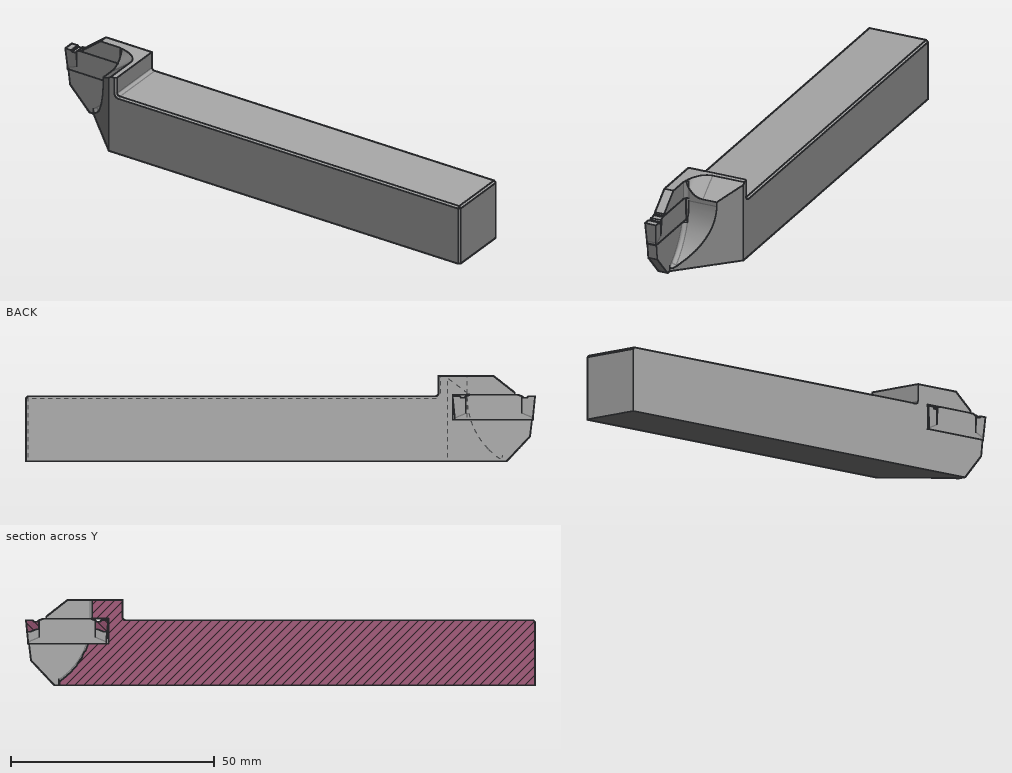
import cadquery as cq
import math


overall_length = 125.0
shank_size = 16.0
edge_chamfer = 0.5

head_height = 21.0
head_end_x = 23.8
step_fillet = 0.8
relief_start_x = 21.6
blade_thickness = 2.5
nose_x = 5.0
nose_bottom_offset = 0.5
jaw_top_x = 10.2
seat_front_x = 0.8
heel_x = 1.2
heel_z = 6.1
toe_x = 7.0

scoop_wall_x = 16.8
scoop_radius = 18.1
scoop_center_z = 15.8
scoop_arc_end_z = 1.4
root_fillet = 1.0

channel_floor_z = 16.9
channel_top_x = 22.2
channel_radius = 4.8

insert_length = 20.2
insert_bottom_z = 10.2
insert_top_z = 16.4
cutting_edge_z = 16.0
cutting_width = 3.0
cutting_head_length = 3.2
front_clearance = 0.5
clearance_end_z = 11.0
side_relief_front_z = 10.5
side_relief_rear_z = 11.9
chip_groove_start_x = 1.8
chip_groove_floor_x = 2.0
chip_groove_end_x = 2.9
chip_groove_z = 15.6
body_rise_end_x = 4.2

insert_center_y = -blade_thickness / 2
insert_middle_x = insert_length / 2


def holder_profile():
    """X-Z outline of the holder, including the jaw nose and the blade."""
    jaw_nose_z = insert_top_z + nose_bottom_offset
    return (
        cq.Workplane("XZ")
        .moveTo(toe_x, 0)
        .lineTo(overall_length, 0)
        .lineTo(overall_length, shank_size)
        .lineTo(head_end_x, shank_size)
        .lineTo(head_end_x, head_height)
        .lineTo(jaw_top_x, head_height)
        .lineTo(nose_x, jaw_nose_z)
        .lineTo(nose_x, insert_bottom_z)
        .lineTo(seat_front_x, insert_bottom_z)
        .lineTo(heel_x, heel_z)
        .close()
    )


def relief_cutter():
    """Block that leaves the 45 degree face on the front of the head, up to the blade."""
    depth = shank_size - blade_thickness
    corner_x = relief_start_x - depth
    return (
        cq.Workplane("XY")
        .moveTo(relief_start_x, -shank_size)
        .lineTo(corner_x, -blade_thickness)
        .lineTo(0, -blade_thickness)
        .lineTo(0, -shank_size)
        .close()
        .extrude(head_height)
    )


def scoop_cutter():
    """Volume in front of the blade, rounded along the blade root."""
    arc_center_x = scoop_wall_x - scoop_radius
    end_angle = math.asin((scoop_center_z - scoop_arc_end_z) / scoop_radius)

    def arc_point(angle):
        return (
            arc_center_x + scoop_radius * math.cos(angle),
            scoop_center_z - scoop_radius * math.sin(angle),
        )

    arc_end = arc_point(end_angle)
    runout_x = arc_end[0] - scoop_arc_end_z * math.tan(end_angle)
    scoop = (
        cq.Workplane("XZ", origin=(0, -blade_thickness, 0))
        .moveTo(arc_center_x, head_height)
        .lineTo(scoop_wall_x, head_height)
        .lineTo(scoop_wall_x, scoop_center_z)
        .threePointArc(arc_point(end_angle / 2), arc_end)
        .lineTo(runout_x, 0)
        .lineTo(arc_center_x, 0)
        .close()
        .extrude(shank_size)
    )
    margin = 0.1
    root_edges = cq.selectors.BoxSelector(
        (runout_x, -blade_thickness - margin, margin),
        (scoop_wall_x + margin, -blade_thickness + margin, head_height - margin),
    )
    return scoop.edges(root_edges).fillet(root_fillet)


def channel_cutter():
    """Wedge above the sloping channel floor, with the floor rounded up towards the blade."""
    slope = (head_height - channel_floor_z) / (channel_top_x - scoop_wall_x)
    far_x = scoop_wall_x + 2 * (channel_top_x - scoop_wall_x)
    far_z = channel_floor_z + slope * (far_x - scoop_wall_x)
    wedge = (
        cq.Workplane("XZ", origin=(0, -blade_thickness, 0))
        .moveTo(scoop_wall_x, channel_floor_z)
        .lineTo(far_x, far_z)
        .lineTo(far_x, far_z + head_height)
        .lineTo(scoop_wall_x, far_z + head_height)
        .close()
        .extrude(shank_size)
    )
    floor_edge = cq.selectors.NearestToPointSelector((channel_top_x, -blade_thickness, head_height))
    return wedge.edges(floor_edge).fillet(channel_radius)


def insert_half_blank():
    """Front half of the insert, at the full cutting width throughout."""
    return (
        cq.Workplane("XZ", origin=(0, insert_center_y + cutting_width / 2, 0))
        .moveTo(0, cutting_edge_z)
        .lineTo(chip_groove_start_x, cutting_edge_z)
        .lineTo(chip_groove_floor_x, chip_groove_z)
        .lineTo(chip_groove_end_x, chip_groove_z)
        .lineTo(cutting_head_length, cutting_edge_z)
        .lineTo(body_rise_end_x, insert_top_z)
        .lineTo(insert_middle_x, insert_top_z)
        .lineTo(insert_middle_x, insert_bottom_z)
        .lineTo(front_clearance, insert_bottom_z)
        .lineTo(front_clearance, clearance_end_z)
        .close()
        .extrude(cutting_width)
    )


def head_section(x, relief_z):
    """Section of the cutting head, narrowing from the cutting edge down to the body."""
    half_body = blade_thickness / 2
    half_top = cutting_width / 2
    corners = [
        (-half_body, relief_z),
        (half_body, relief_z),
        (half_top, cutting_edge_z),
        (-half_top, cutting_edge_z),
    ]
    return cq.Wire.makePolygon([cq.Vector(x, insert_center_y + y, z) for y, z in corners], close=True)


def make_insert():
    """Double-ended insert: a flat body with a wider cutting head at each end."""
    front_section = head_section(0, side_relief_front_z)
    rear_section = head_section(cutting_head_length, side_relief_rear_z)
    head_envelope = cq.Workplane(cq.Solid.makeLoft([front_section, rear_section], True))
    body_envelope = cq.Workplane("XY").box(
        insert_length, blade_thickness, head_height, centered=(False, True, False)
    ).translate((0, insert_center_y, 0))
    half = insert_half_blank().intersect(body_envelope.union(head_envelope))
    other_half = half.rotate((insert_middle_x, insert_center_y, 0), (insert_middle_x, insert_center_y, 1), 180)
    return half.union(other_half)


def insert_pocket():
    """Two cutters: the pocket as wide as the cutting heads, and its clearance at the scoop."""
    height = insert_top_z - insert_bottom_z
    pocket = (
        cq.Workplane("XY", origin=(0, insert_center_y, insert_bottom_z))
        .box(insert_length, cutting_width, height, centered=(False, True, False))
    )
    fillet_clearance = (
        cq.Workplane("XY", origin=(0, -blade_thickness - root_fillet, insert_bottom_z))
        .box(scoop_wall_x, root_fillet, height, centered=False)
    )
    return pocket, fillet_clearance


def make_holder():
    holder = holder_profile().extrude(shank_size)
    step_corner = cq.selectors.NearestToPointSelector((head_end_x, -shank_size / 2, shank_size))
    holder = holder.edges(step_corner).fillet(step_fillet)
    margin = 0.1
    front_edges = cq.selectors.BoxSelector(
        (head_end_x - margin, -shank_size - margin, margin),
        (overall_length + margin, -shank_size + margin, head_height),
    )
    end_top_edge = cq.selectors.NearestToPointSelector((overall_length, -shank_size / 2, shank_size))
    holder = holder.edges(front_edges + end_top_edge).chamfer(edge_chamfer)
    pocket, fillet_clearance = insert_pocket()
    for cutter in (relief_cutter(), scoop_cutter(), channel_cutter(), pocket, fillet_clearance):
        holder = holder.cut(cutter)
    return holder


insert = make_insert()
holder = make_holder()

result = cq.Compound.makeCompound([holder.val(), insert.val()])